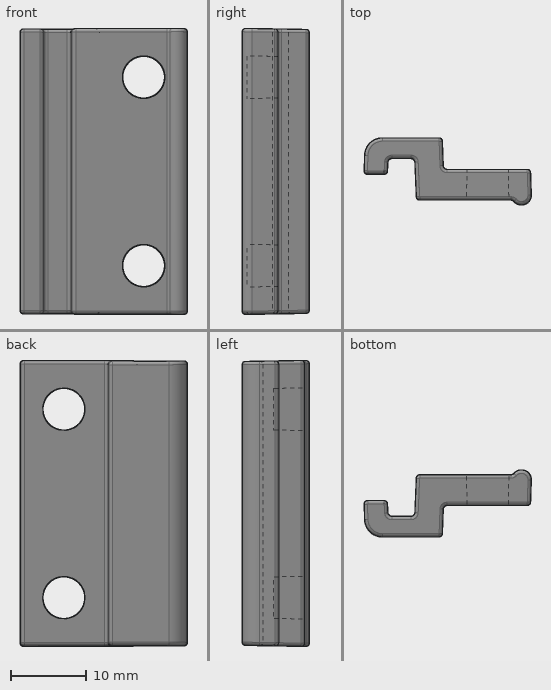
import cadquery as cq
import math

width = 22.23
depth = 8.93
length = 38.0
end_draft = 0.15

plate_front = 0.65
plate_back = 4.75
plate_left = 6.95
step_top_x = 10.4
step_foot_x = 10.55
hook_tip_y = 4.05
hook_tip_width = 3.1
slot_roof_y = 6.15
slot_left_x = 3.23
slot_right_x = 6.73
hook_lean = 0.15
side_lean = 0.1
ridge_radius = 1.33
ridge_x = width - ridge_radius

hook_radius = 2.4
corner_radius = 0.5
end_radius = 0.45

hole_x = 16.4
hole_offset = 12.5
hole_front_diameter = 5.65
hole_back_diameter = 5.5


def make_section():
    """Extrude the hook-and-plate section with its rounded bead along the front."""
    rise = ridge_radius - plate_front
    ridge_left = ridge_x - math.sqrt(ridge_radius**2 - rise**2)
    section = (
        cq.Workplane("XY")
        .workplane(offset=-length / 2)
        .moveTo(0, hook_tip_y)
        .lineTo(hook_tip_width, hook_tip_y)
        .lineTo(slot_left_x, slot_roof_y)
        .lineTo(slot_right_x, slot_roof_y)
        .lineTo(plate_left, plate_front)
        .lineTo(ridge_left, plate_front)
        .threePointArc((ridge_x, 0), (width, ridge_radius))
        .lineTo(width - side_lean, plate_back)
        .lineTo(step_foot_x, plate_back)
        .lineTo(step_top_x, depth)
        .lineTo(hook_lean, depth)
        .close()
        .extrude(length)
    )

    def edges_at(*points):
        found = cq.Workplane("XY").newObject([section.val()])
        picked = [found.edges(cq.selectors.NearestToPointSelector((x, y, 0))).val() for x, y in points]
        return section.newObject(picked)

    section = edges_at((hook_lean, depth)).fillet(hook_radius)
    return edges_at(
        (0, hook_tip_y),
        (hook_tip_width, hook_tip_y),
        (slot_left_x, slot_roof_y),
        (slot_right_x, slot_roof_y),
        (plate_left, plate_front),
        (ridge_left, plate_front),
        (width - side_lean, plate_back),
        (step_foot_x, plate_back),
        (step_top_x, depth),
    ).fillet(corner_radius)


def make_draft_envelope():
    """Block whose end faces converge toward the back of the part."""
    front_z = length / 2
    back_z = front_z - end_draft
    return (
        cq.Workplane("YZ")
        .polyline([(0, -front_z), (depth, -back_z), (depth, back_z), (0, front_z)])
        .close()
        .extrude(width)
    )


def make_hole(z):
    """Tapered cutter running through the plate along Y."""
    return cq.Workplane("XY").newObject([
        cq.Solid.makeCone(
            hole_front_diameter / 2,
            hole_back_diameter / 2,
            plate_back - plate_front,
            pnt=cq.Vector(hole_x, plate_front, z),
            dir=cq.Vector(0, 1, 0),
        )
    ])


body = make_section().intersect(make_draft_envelope())
body = body.faces("<Z or >Z").edges().fillet(end_radius)
for hole_z in (-hole_offset, hole_offset):
    body = body.cut(make_hole(hole_z))

result = body